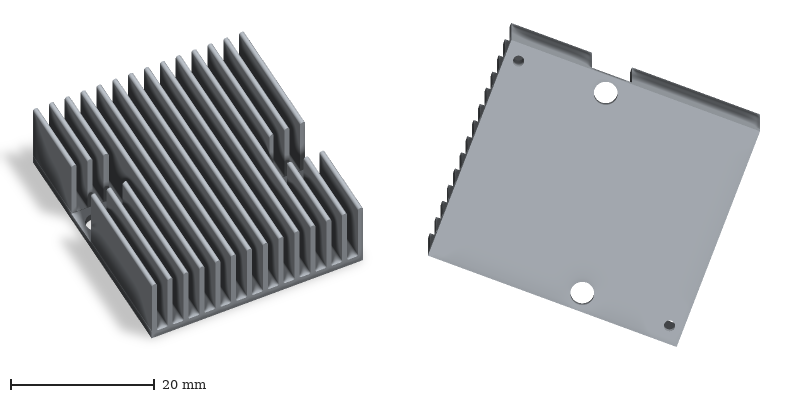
import cadquery as cq

length = 37.0
width = 32.93
height = 11.0

base_thickness = 1.22
base_overhang = 0.05
fin_count = 14
fin_thickness = 0.78
fin_tip_radius = 0.37
root_radius = 0.25
fin_pitch = (width - 2 * base_overhang - fin_thickness) / (fin_count - 1)

pocket_width = 6.0
pocket_depth = 6.7
pocket_corner_radius = 2.0
pocket_offset_x = 3.5
pocket_recess = 0.07
pocket_floor = base_thickness - pocket_recess

mount_hole_diameter = 3.33
mount_hole_offset_y = 13.95

pin_hole_offset_y = 14.0
pin_hole_diameter = 1.55
pin_hole_offset_x = 16.5
pin_hole_depth = 3.77


def make_base():
    return cq.Workplane("XY").box(length, width, base_thickness, centered=(True, True, False))


def make_fin(y):
    """One fin with rounded tip edges, standing on the base at the given Y."""
    fin_height = height - base_thickness
    return (
        cq.Workplane("XY", origin=(0, y, base_thickness))
        .box(length, fin_thickness, fin_height, centered=(True, True, False))
        .edges("|X and >Z")
        .fillet(fin_tip_radius)
    )


def make_root_fillet(y, side):
    """Concave strip in the corner between the base and one side of a fin."""
    wall = y + side * fin_thickness / 2
    arc_end = wall + side * root_radius
    arc_middle_offset = root_radius * (1 - 0.5 ** 0.5)
    return (
        cq.Workplane("YZ", origin=(-length / 2, 0, 0))
        .moveTo(wall, base_thickness)
        .lineTo(arc_end, base_thickness)
        .threePointArc(
            (wall + side * arc_middle_offset, base_thickness + arc_middle_offset),
            (wall, base_thickness + root_radius),
        )
        .close()
        .extrude(length)
    )


def make_pocket():
    """Cutter for the pocket on the +Y edge, with rounded inner corners."""
    return (
        cq.Workplane("XY", origin=(pocket_offset_x, width / 2 - pocket_depth / 2, pocket_floor))
        .box(pocket_width, pocket_depth, height, centered=(True, True, False))
        .edges("|Z and <Y")
        .fillet(pocket_corner_radius)
    )


def make_hole(x, y, diameter, depth):
    """Cutter for a round hole rising from the underside."""
    return cq.Workplane("XY", origin=(x, y, 0)).circle(diameter / 2).extrude(depth)


body = make_base()
for index in range(fin_count):
    fin_y = (index - (fin_count - 1) / 2) * fin_pitch
    body = body.union(make_fin(fin_y))
    for side in (-1, 1):
        body = body.union(make_root_fillet(fin_y, side))

envelope = cq.Workplane("XY").box(length, width, height, centered=(True, True, False))
body = body.intersect(envelope)

cutters = [
    make_pocket(),
    make_hole(pocket_offset_x, mount_hole_offset_y, mount_hole_diameter, height),
    make_hole(pin_hole_offset_x, pin_hole_offset_y, pin_hole_diameter, pin_hole_depth),
]
for cutter in cutters:
    body = body.cut(cutter)
    body = body.cut(cutter.rotate((0, 0, 0), (0, 0, 1), 180))

result = body